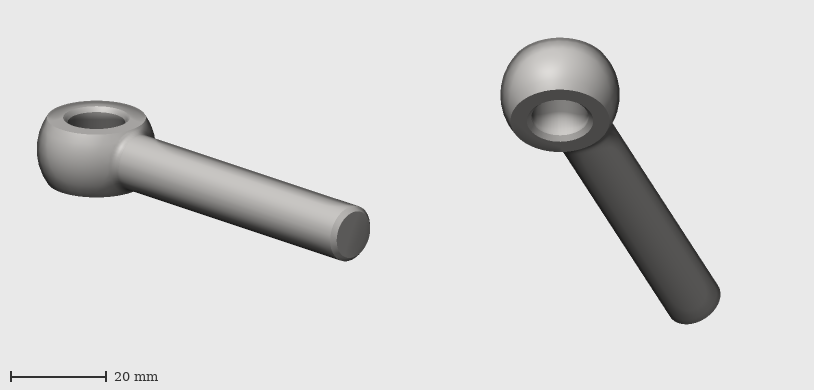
import cadquery as cq
import math

overall_length = 87.4
ball_diameter = 25.0
eye_height = 14.0
bore_diameter = 12.0
shank_diameter = 12.0
chamfer = 1.0
neck_fillet = 2.0

ball_radius = ball_diameter / 2
shank_radius = shank_diameter / 2
shank_end = overall_length - ball_radius

arc_center_r = shank_radius + neck_fillet
arc_center_x = math.sqrt((ball_radius + neck_fillet) ** 2 - arc_center_r ** 2)
tangent_ratio = ball_radius / (ball_radius + neck_fillet)
neck_start = (arc_center_x * tangent_ratio, arc_center_r * tangent_ratio)
neck_end = (arc_center_x, shank_radius)


def make_eye():
    """Ball cut flat at the top and bottom."""
    ball = cq.Workplane("XY").sphere(ball_radius)
    slab = cq.Workplane("XY").box(ball_diameter, ball_diameter, eye_height)
    return ball.intersect(slab)


def make_shank():
    """Round shank with a flared neck and a chamfered free end."""
    profile = (
        cq.Workplane("XY")
        .moveTo(neck_start[0], 0)
        .lineTo(*neck_start)
        .radiusArc(neck_end, -neck_fillet)
        .lineTo(shank_end - chamfer, shank_radius)
        .lineTo(shank_end, shank_radius - chamfer)
        .lineTo(shank_end, 0)
        .close()
    )
    return profile.revolve(360, (0, 0, 0), (1, 0, 0))


def make_bore():
    """Through bore with a chamfer at both mouths."""
    bore_radius = bore_diameter / 2
    mouth_radius = bore_radius + chamfer
    half_height = eye_height / 2
    profile = (
        cq.Workplane("XZ")
        .moveTo(0, -half_height)
        .lineTo(mouth_radius, -half_height)
        .lineTo(bore_radius, chamfer - half_height)
        .lineTo(bore_radius, half_height - chamfer)
        .lineTo(mouth_radius, half_height)
        .lineTo(0, half_height)
        .close()
    )
    return profile.revolve(360, (0, 0, 0), (0, 1, 0))


result = make_eye().union(make_shank()).cut(make_bore())